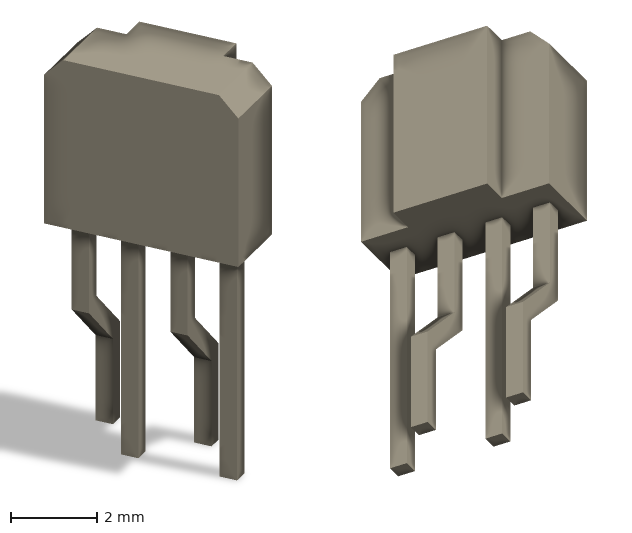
import cadquery as cq

total_height = 10.4
total_depth = 2.5

body_width = 5.0
body_height = 4.39
body_depth = 1.8
corner_cut = 0.5
body_bottom = total_height - body_height

block_width = 2.5

lead_count = 4
lead_pitch = 1.27
lead_width = 0.45
lead_thickness = 0.38
lead_front = 0.71
lead_rear = lead_front + lead_thickness
bend_offset = lead_pitch
bend_front_top = 3.5
bend_rear_rise = 0.28
bend_rear_top = bend_front_top + bend_rear_rise


def make_body():
    """Block with its two upper corners cut off, extruded toward +Y."""
    half_width = body_width / 2
    corner_x = half_width - corner_cut
    corner_z = total_height - corner_cut
    return (
        cq.Workplane("XZ")
        .moveTo(-half_width, body_bottom)
        .lineTo(half_width, body_bottom)
        .lineTo(half_width, corner_z)
        .lineTo(corner_x, total_height)
        .lineTo(-corner_x, total_height)
        .lineTo(-half_width, corner_z)
        .close()
        .extrude(-body_depth)
    )


def make_rear_block():
    """Full-height block standing out from the rear of the body."""
    return cq.Workplane("XY").box(
        block_width, total_depth - body_depth, body_height, centered=(True, False, False)
    ).translate((0, body_depth, body_bottom))


def make_lead(center_x, is_bent):
    """Lead of constant width; a bent lead steps toward +Y at 45 degrees."""
    profile = cq.Workplane("YZ", origin=(center_x, 0, 0))
    if is_bent:
        profile = profile.polyline([
            (lead_front, body_bottom),
            (lead_front, bend_front_top),
            (lead_front + bend_offset, bend_front_top - bend_offset),
            (lead_front + bend_offset, 0),
            (lead_rear + bend_offset, 0),
            (lead_rear + bend_offset, bend_rear_top - bend_offset),
            (lead_rear, bend_rear_top),
            (lead_rear, body_bottom),
        ])
    else:
        profile = profile.polyline([
            (lead_front, 0),
            (lead_rear, 0),
            (lead_rear, body_bottom),
            (lead_front, body_bottom),
        ])
    return profile.close().extrude(lead_width / 2, both=True)


result = make_body().union(make_rear_block())
for index in range(lead_count):
    lead_x = (index - (lead_count - 1) / 2) * lead_pitch
    result = result.union(make_lead(lead_x, is_bent=index % 2 == 0))